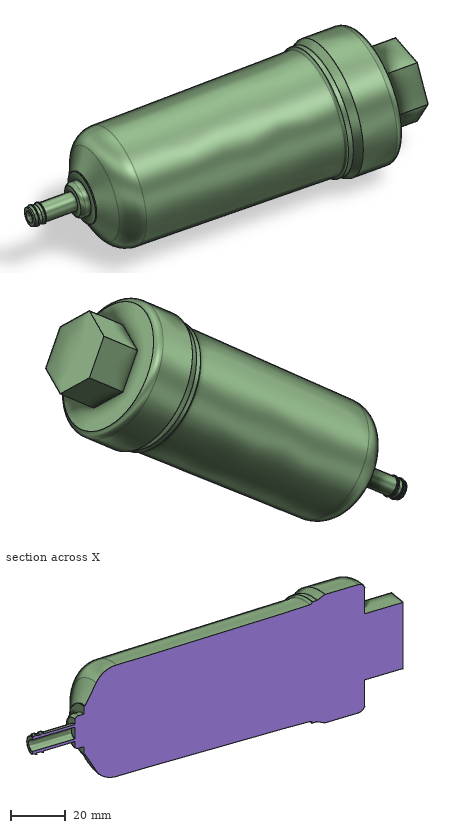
import cadquery as cq
import math

total_length = 158.7

hex_across_flats = 28.1
hex_length = 16.3

cap_radius = 27.22
cap_length = 17.1
cap_round_length = 2.9
cap_round_depth = 2.0
cap_taper_length = 3.3

bowl_back_radius = 24.8
bowl_front_radius = 23.6
bowl_wall_length = 82.8
shoulder_radius = 10.0
shoulder_angle = math.radians(60)
foot_radius = 10.3
foot_thickness = 0.5

band_cove = 1.0
band_radius = bowl_back_radius + band_cove
band_length = 2.0

collar_radius = 7.0
collar_length = 3.8
collar_round_length = 1.6
collar_round_depth = 1.0

stem_radius = 3.73
stem_bore_radius = 2.4
barb_radius = 4.2
barb_land = 0.5
barb_taper = 1.0
barb_pitch = 2.9
barb_count = 2
barb_tip_gap = 0.6

cap_back = total_length - hex_length
cap_front = cap_back - cap_length
band_back = cap_front - cap_taper_length
band_front = band_back - band_length
bowl_back = band_front - band_cove
bowl_wall_front = bowl_back - bowl_wall_length
shoulder_front = bowl_wall_front - shoulder_radius * math.sin(shoulder_angle)
shoulder_front_radius = bowl_front_radius - shoulder_radius * (1 - math.cos(shoulder_angle))
cone_length = (shoulder_front_radius - foot_radius) / math.tan(shoulder_angle)
foot_back = shoulder_front - cone_length
foot_front = foot_back - foot_thickness
collar_front = foot_front - collar_length


def disc(radius, front, back):
    """Cylinder on the Y axis between two Y positions."""
    return cq.Workplane("XZ", origin=(0, back, 0)).circle(radius).extrude(back - front)


def side_tangent_radius(length, depth):
    """Radius of an edge round that runs smoothly into the side but meets the end face at a crease."""
    return (length**2 + depth**2) / (2 * depth)


def make_hexagon():
    corner_diameter = hex_across_flats / math.cos(math.pi / 6)
    plane = cq.Workplane("XZ", origin=(0, total_length, 0))
    return plane.polygon(6, corner_diameter).extrude(hex_length)


def make_body():
    """Cap, band and bowl as one turned outline."""
    cap_arc_radius = side_tangent_radius(cap_round_length, cap_round_depth)
    half_angle = shoulder_angle / 2
    shoulder_middle = (
        bowl_front_radius - shoulder_radius * (1 - math.cos(half_angle)),
        bowl_wall_front - shoulder_radius * math.sin(half_angle),
    )
    outline = (
        cq.Workplane("XY")
        .moveTo(0, cap_back)
        .lineTo(cap_radius - cap_round_depth, cap_back)
        .radiusArc((cap_radius, cap_back - cap_round_length), cap_arc_radius)
        .lineTo(cap_radius, cap_front)
        .lineTo(band_radius, band_back)
        .lineTo(band_radius, band_front)
        .radiusArc((bowl_back_radius, bowl_back), -band_cove)
        .lineTo(bowl_front_radius, bowl_wall_front)
        .threePointArc(shoulder_middle, (shoulder_front_radius, shoulder_front))
        .lineTo(foot_radius, foot_back)
        .lineTo(foot_radius, foot_front)
        .lineTo(0, foot_front)
        .close()
    )
    return outline.revolve(360, (0, 0, 0), (0, 1, 0))


def make_collar():
    """Collar whose front edge is rounded."""
    arc_radius = side_tangent_radius(collar_round_length, collar_round_depth)
    outline = (
        cq.Workplane("XY")
        .moveTo(0, foot_front)
        .lineTo(collar_radius, foot_front)
        .lineTo(collar_radius, collar_front + collar_round_length)
        .radiusArc((collar_radius - collar_round_depth, collar_front), arc_radius)
        .lineTo(0, collar_front)
        .close()
    )
    return outline.revolve(360, (0, 0, 0), (0, 1, 0))


def make_barb(front):
    """Ring with a sharp back step, tapering down to the stem toward the tip."""
    land_front = front + barb_taper
    back = land_front + barb_land
    outline = (
        cq.Workplane("XY")
        .moveTo(0, front)
        .lineTo(stem_radius, front)
        .lineTo(barb_radius, land_front)
        .lineTo(barb_radius, back)
        .lineTo(0, back)
        .close()
    )
    return outline.revolve(360, (0, 0, 0), (0, 1, 0))


def make_stem():
    stem = disc(stem_radius, 0, collar_front)
    for index in range(barb_count):
        stem = stem.union(make_barb(barb_tip_gap + index * barb_pitch))
    return stem


stem_bore = disc(stem_bore_radius, 0, collar_front)

result = make_hexagon().union(make_body()).union(make_collar()).union(make_stem()).cut(stem_bore)